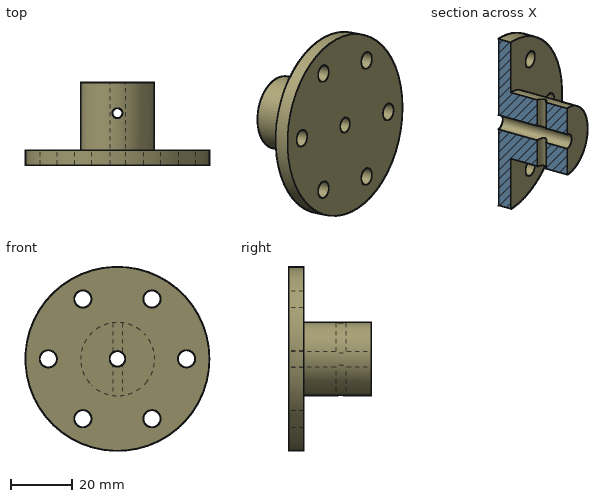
import cadquery as cq

flange_diameter = 60.0
flange_thickness = 5.0

total_length = 27.0
hub_diameter = 24.0
bore_diameter = 5.0

bolt_count = 6
bolt_circle_radius = 22.5
bolt_hole_diameter = 5.5

pin_hole_diameter = 3.2
pin_hole_y = 17.0


def cylinder_along_y(diameter, length):
    """Cylinder on the part axis, from Y = 0 to Y = length."""
    return cq.Workplane("XZ").circle(diameter / 2).extrude(-length)


def bolt_holes():
    """Cutters for the evenly spaced ring of bolt holes."""
    return (
        cq.Workplane("XZ")
        .polarArray(bolt_circle_radius, 0, 360, bolt_count)
        .circle(bolt_hole_diameter / 2)
        .extrude(-flange_thickness)
    )


def pin_hole():
    """Cutter that crosses the whole hub."""
    return (
        cq.Workplane("XY")
        .center(0, pin_hole_y)
        .circle(pin_hole_diameter / 2)
        .extrude(hub_diameter, both=True)
    )


flange = cylinder_along_y(flange_diameter, flange_thickness)
hub = cylinder_along_y(hub_diameter, total_length)
bore = cylinder_along_y(bore_diameter, total_length)

result = flange.union(hub).cut(bore).cut(bolt_holes()).cut(pin_hole())